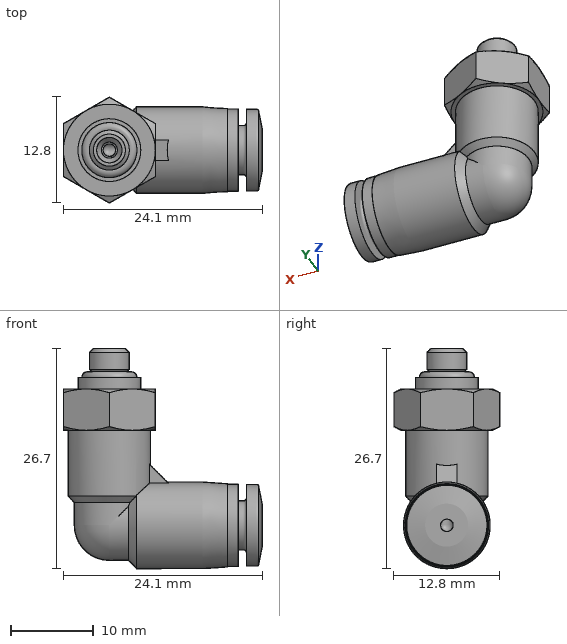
import cadquery as cq
import math


elbow_radius = 8.5 / 2

stem_radius = 10.0 / 2
stem_shoulder_bottom = 2.75
stem_shoulder_height = 0.8

hex_flats = 11.11
hex_turn = 30
hex_bottom = 11.5
hex_height = 5.0
hex_top = hex_bottom + hex_height
hex_corner_diameter = hex_flats / math.cos(math.radians(hex_turn))
hex_corner_drop = 0.45

seat_radius = 7.6 / 2
seat_top = 17.91
undercut_radius = 3.97 / 2
ring_outer_radius = 6.67 / 2
ring_section_radius = (ring_outer_radius - undercut_radius) / 2
ring_mid_radius = undercut_radius + ring_section_radius
thread_radius = 4.83 / 2
thread_bottom = 18.87
thread_tip_radius = 3.88 / 2
stem_top = 21.4

body_radius = 10.5 / 2
body_shoulder_start = 2.3
body_shoulder_length = body_radius - elbow_radius
taper_start = 11.3
taper_end = 14.28
taper_end_radius = 5.05
sleeve_radius = 10.0 / 2
sleeve_end = 15.65
sleeve_chamfer = 0.08

overall_length = 24.05
collar_neck_radius = 5.97 / 2
collar_radius = 9.9 / 2
collar_start = 16.58
collar_fillet = 0.36
collar_rim_end = 17.8
collar_round_end = 18.05
collar_round_radius = 4.85
collar_face_radius = 2.6
outlet_end = overall_length - hex_flats / 2

gusset_width = 2.5
gusset_reach = 12.25

bore_radius = 1.5 / 2
inlet_radius = 1.93 / 2
inlet_mouth_radius = 3.07 / 2
inlet_cone_depth = 0.94
inlet_bottom = hex_bottom


def elbow():
    corner = cq.Workplane("XY").sphere(elbow_radius)
    upright = cq.Workplane("XY").circle(elbow_radius).extrude(stem_shoulder_bottom)
    branch = cq.Workplane("YZ").circle(elbow_radius).extrude(body_shoulder_start)
    return corner.union(upright).union(branch)


def stem():
    thread_tip_chamfer = thread_radius - thread_tip_radius
    undercut_depth = thread_radius - undercut_radius
    profile = (
        cq.Workplane("XZ")
        .moveTo(0, stem_shoulder_bottom)
        .lineTo(elbow_radius, stem_shoulder_bottom)
        .lineTo(stem_radius, stem_shoulder_bottom + stem_shoulder_height)
        .lineTo(stem_radius, hex_top)
        .lineTo(seat_radius, hex_top)
        .lineTo(seat_radius, seat_top)
        .lineTo(undercut_radius, seat_top)
        .lineTo(undercut_radius, thread_bottom - undercut_depth)
        .lineTo(thread_radius, thread_bottom)
        .lineTo(thread_radius, stem_top - thread_tip_chamfer)
        .lineTo(thread_tip_radius, stem_top)
        .lineTo(0, stem_top)
        .close()
    )
    return profile.revolve(360, (0, 0), (0, 1))


def hexagon():
    prism = (
        cq.Workplane("XY")
        .workplane(offset=hex_bottom)
        .polygon(6, hex_corner_diameter)
        .extrude(hex_height)
        .rotate((0, 0, 0), (0, 0, 1), hex_turn)
    )
    flat_radius = hex_flats / 2
    corner_radius = hex_corner_diameter / 2
    envelope = (
        cq.Workplane("XZ")
        .moveTo(0, hex_bottom)
        .lineTo(flat_radius, hex_bottom)
        .lineTo(corner_radius, hex_bottom + hex_corner_drop)
        .lineTo(corner_radius, hex_top - hex_corner_drop)
        .lineTo(flat_radius, hex_top)
        .lineTo(0, hex_top)
        .close()
        .revolve(360, (0, 0), (0, 1))
    )
    return prism.intersect(envelope)


def sealing_ring():
    return (
        cq.Workplane("XZ")
        .center(ring_mid_radius, seat_top)
        .circle(ring_section_radius)
        .revolve(360, (-ring_mid_radius, 0), (-ring_mid_radius, 1))
    )


def outlet():
    profile = (
        cq.Workplane("XZ")
        .moveTo(body_shoulder_start, 0)
        .lineTo(body_shoulder_start, elbow_radius)
        .lineTo(body_shoulder_start + body_shoulder_length, body_radius)
        .lineTo(taper_start, body_radius)
        .lineTo(taper_end, taper_end_radius)
        .lineTo(taper_end, sleeve_radius)
        .lineTo(sleeve_end - sleeve_chamfer, sleeve_radius)
        .lineTo(sleeve_end, sleeve_radius - sleeve_chamfer)
        .lineTo(sleeve_end, collar_neck_radius)
        .lineTo(collar_start - collar_fillet, collar_neck_radius)
        .radiusArc((collar_start, collar_neck_radius + collar_fillet), -collar_fillet)
        .lineTo(collar_start, collar_radius)
        .lineTo(collar_rim_end, collar_radius)
        .tangentArcPoint((collar_round_end, collar_round_radius), relative=False)
        .lineTo(outlet_end, collar_face_radius)
        .lineTo(outlet_end, 0)
        .close()
    )
    return profile.revolve(360, (0, 0), (1, 0))


def gusset():
    return (
        cq.Workplane("XZ")
        .moveTo(elbow_radius, elbow_radius)
        .lineTo(gusset_reach - elbow_radius, elbow_radius)
        .lineTo(elbow_radius, gusset_reach - elbow_radius)
        .close()
        .extrude(gusset_width / 2, both=True)
    )


def flow_passage():
    inlet = (
        cq.Workplane("XZ")
        .lineTo(bore_radius, 0)
        .lineTo(bore_radius, inlet_bottom)
        .lineTo(inlet_radius, inlet_bottom)
        .lineTo(inlet_radius, stem_top - inlet_cone_depth)
        .lineTo(inlet_mouth_radius, stem_top)
        .lineTo(0, stem_top)
        .close()
        .revolve(360, (0, 0), (0, 1))
    )
    bend = cq.Workplane("XY").sphere(bore_radius)
    branch = cq.Workplane("YZ").circle(bore_radius).extrude(outlet_end)
    return inlet.union(bend).union(branch)


body = elbow().union(stem()).union(hexagon()).union(sealing_ring())
body = body.union(outlet()).union(gusset())
result = body.cut(flow_passage())